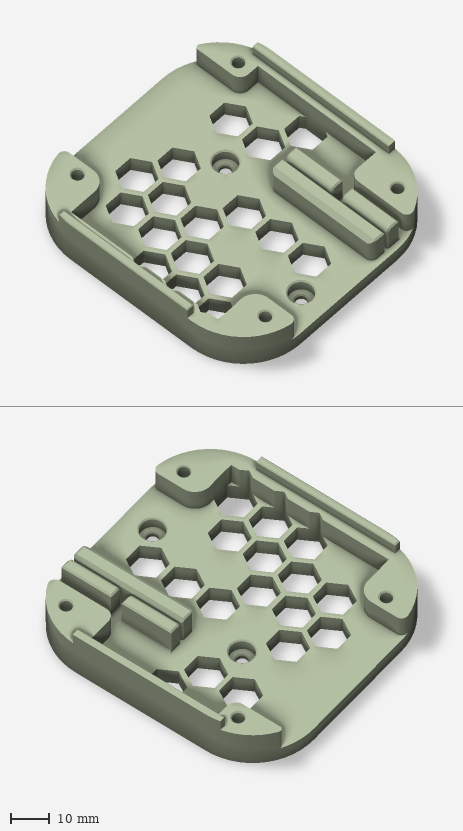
import cadquery as cq
import math

length = 82.5
width = 77.05
corner_radius = 20.0
floor_height = 5.0
wall_height = 12.0
bottom_chamfer = 0.5

back_wall_inner = 34.3
front_wall_inner = 33.5

pads = [
    (-1, 1, 22.2, 27.7, 3.0, 1.0),
    (1, 1, 19.3, 24.2, 3.0, 2.0),
    (-1, -1, 25.65, 19.55, 5.0, 2.0),
    (1, -1, 25.9, 19.55, 5.0, 2.0),
]

lip_top = 15.4
lip_thickness = 2.4
lip_left = -25.7
back_lip_right = 22.2
front_lip_right = 19.9
lip_chamfer = 0.3

pad_hole_centers = [(-26.8, 31.85), (31.3, 29.6), (-32.75, -23.3), (34.3, -24.3)]
pad_hole_diameter = 3.5
rim_chamfer = 0.4

floor_hole_centers = [(-10.8, 9.5), (32.3, -8.5)]
floor_hole_diameter = 3.4
counterbore_diameter = 7.2
counterbore_depth = 3.5

hex_flats = 10.0
hex_gap = 1.5
hex_origin_x = -1.9
hex_origin_y = -9.15
hex_rows = {
    -2: [0, 1, 2],
    -1: [-1, 0, 1, 2],
    0: [-2, -1, 0],
    1: [-1, 1, 2, 3],
    3: [-1, 0],
    4: [0],
}

rail_center_x = 21.45
rail_half_length = 18.0
rail_top = 13.4
rail_end_chamfer = 0.5

front_rail_front = 10.8
front_rail_back = 16.2
front_rail_corner_radius = 2.1
front_rail_back_corner = 0.4
front_rail_front_bevel_width = 1.5
front_rail_front_bevel_drop = 1.3
front_rail_back_bevel_width = 0.8
front_rail_back_bevel_drop = 1.2

back_rail_front = 16.8
back_rail_back = 21.0
back_rail_gap = 3.4
back_rail_round = 1.7
back_rail_foot_radius = 1.1


def block(x_min, x_max, y_min, y_max, z_min, z_max):
    """Box between the given limits."""
    size = (x_max - x_min, y_max - y_min, z_max - z_min)
    return cq.Workplane("XY").box(*size, centered=False).translate((x_min, y_min, z_min))


def body_prism(height):
    """Rounded outline of the body, raised from the underside to the given height."""
    return cq.Workplane("XY").rect(length, width).extrude(height).edges("|Z").fillet(corner_radius)


def upright_edge_near(x, y):
    """Selector for the upright pad edge closest to the given place."""
    return cq.selectors.NearestToPointSelector((x, y, (floor_height + wall_height) / 2))


def corner_pad(x_side, y_side, x_inner, y_inner, inner_radius, edge_radius):
    """Raised pad that fills one body corner."""
    x_face = x_side * x_inner
    y_face = y_side * y_inner
    x_outer = x_side * length / 2
    y_outer = y_side * width / 2
    x_limits = sorted((x_face, x_outer))
    y_limits = sorted((y_face, y_outer))
    shape = block(*x_limits, *y_limits, floor_height, wall_height).intersect(body_prism(wall_height))
    shape = shape.edges("|Z").edges(upright_edge_near(x_face, y_face)).fillet(inner_radius)
    return shape.edges("|Z").edges(upright_edge_near(x_outer, y_face)).fillet(edge_radius)


def long_walls():
    """Walls along the back and front edges, each running between two pads."""
    back_left, back_right, front_left, front_right = [side * x for side, _, x, *_ in pads]
    back = block(back_left, back_right, back_wall_inner, width / 2, floor_height, wall_height)
    front = block(front_left, front_right, -width / 2, -front_wall_inner, floor_height, wall_height)
    return back.union(front).intersect(body_prism(wall_height))


def lips():
    """Thin lips following the body outline: back one eased inside, front one all round its top."""
    inner = width / 2 - lip_thickness
    outline = body_prism(lip_top)
    back = block(lip_left, back_lip_right, inner, width / 2, wall_height, lip_top).intersect(outline)
    front = block(lip_left, front_lip_right, -width / 2, -inner, wall_height, lip_top).intersect(outline)
    back = back.edges(">Z and <Y").chamfer(lip_chamfer)
    front = front.faces(">Z").edges().chamfer(lip_chamfer)
    return back.union(front)


def hex_opening(row, column):
    """One honeycomb opening; those behind the origin row stop short of the back wall."""
    pitch = hex_flats + hex_gap
    x = hex_origin_x + pitch * (column - (row % 2) / 2)
    y = hex_origin_y + pitch * math.sqrt(3) / 2 * row
    across_corners = hex_flats * 2 / math.sqrt(3)
    prism = cq.Workplane("XY").polygon(6, across_corners).extrude(wall_height)
    prism = prism.rotate((0, 0, 0), (0, 0, 1), 30).translate((x, y, 0))
    in_front_of_back_wall = block(-length / 2, length / 2, -width / 2, back_wall_inner, 0, wall_height)
    return prism.intersect(in_front_of_back_wall)


def rimmed_hole(center, bottom, top, diameter):
    """Round cutter with a small chamfer around its top rim."""
    radius = diameter / 2
    profile = [
        (0, bottom),
        (radius, bottom),
        (radius, top - rim_chamfer),
        (radius + rim_chamfer, top),
        (0, top),
    ]
    cutter = cq.Workplane("XZ").polyline(profile).close().revolve(360, (0, 0, 0), (0, 1, 0))
    return cutter.translate((*center, 0))


def front_rail():
    """Full-length rail with bevelled top edges and rounded front corners."""
    left = rail_center_x - rail_half_length
    right = rail_center_x + rail_half_length
    plan = block(left, right, front_rail_front, front_rail_back, floor_height, rail_top)
    plan = plan.edges("|Z and <Y").fillet(front_rail_corner_radius)
    plan = plan.edges("|Z and >Y").chamfer(front_rail_back_corner)
    cross_section = [
        (front_rail_front, floor_height),
        (front_rail_front, rail_top - front_rail_front_bevel_drop),
        (front_rail_front + front_rail_front_bevel_width, rail_top),
        (front_rail_back - front_rail_back_bevel_width, rail_top),
        (front_rail_back, rail_top - front_rail_back_bevel_drop),
        (front_rail_back, floor_height),
    ]
    bevelled = cq.Workplane("YZ").polyline(cross_section).close().extrude(2 * rail_half_length)
    end_bevels = block(left, right, front_rail_front, front_rail_back, floor_height, rail_top)
    end_bevels = end_bevels.edges("|Y and >Z").chamfer(rail_end_chamfer)
    return plan.intersect(bevelled.translate((left, 0, 0))).intersect(end_bevels)


def back_rail_half():
    """Left half of the back rail, with a concave foot behind it and in the gap."""
    left = rail_center_x - rail_half_length
    right = rail_center_x - back_rail_gap / 2
    half = block(left, right, back_rail_front, back_rail_back, floor_height, rail_top)
    half = half.edges(">Z and <Y").fillet(back_rail_round)
    end_edges = half.faces("<X or >X").edges("not(<Z or (|Z and >Y))")
    half = end_edges.add(half.edges("|X and >Z and >Y")).chamfer(rail_end_chamfer)

    path = cq.Workplane("XY", origin=(0, 0, floor_height))
    path = path.moveTo(left, back_rail_back).lineTo(right, back_rail_back).lineTo(right, back_rail_front)
    radius = back_rail_foot_radius
    bow = radius * (1 - math.sqrt(0.5))
    foot = (
        cq.Workplane("YZ", origin=(left, back_rail_back, floor_height))
        .lineTo(radius, 0)
        .threePointArc((bow, bow), (0, radius))
        .close()
        .sweep(path, transition="round")
    )
    return half.union(foot)


body = body_prism(floor_height).union(long_walls())
for pad in pads:
    body = body.union(corner_pad(*pad))
body = body.union(lips()).faces("<Z").chamfer(bottom_chamfer)

for row, columns in hex_rows.items():
    for column in columns:
        body = body.cut(hex_opening(row, column))

for center in pad_hole_centers:
    body = body.cut(rimmed_hole(center, 0, wall_height, pad_hole_diameter))

counterbore_floor = floor_height - counterbore_depth
for center in floor_hole_centers:
    body = body.cut(rimmed_hole(center, counterbore_floor, floor_height, counterbore_diameter))
    body = body.cut(rimmed_hole(center, 0, counterbore_floor, floor_hole_diameter))

left_half = back_rail_half()
right_half = left_half.mirror("YZ", (rail_center_x, 0, 0))
result = body.union(front_rail()).union(left_half).union(right_half)